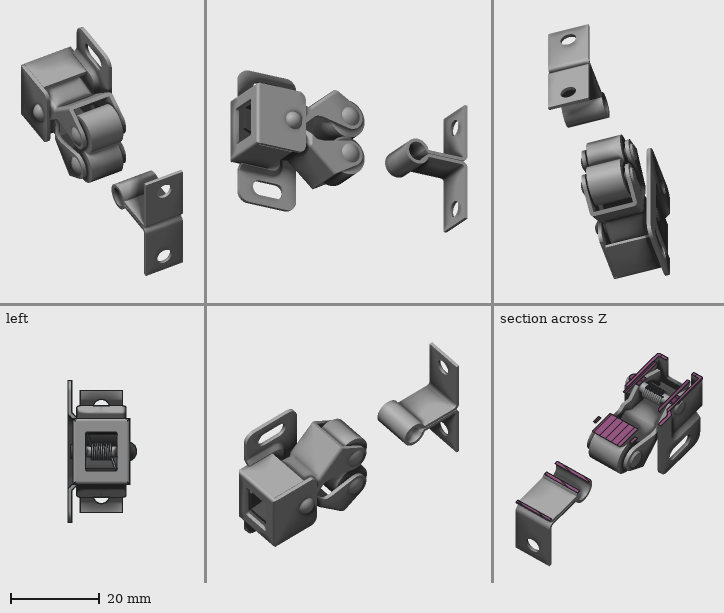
import cadquery as cq
import math

SHEET = 0.9

BOX_LEFT = -9.45
FRONT_WALL_RIGHT = 3.1
INNER_HALF_Y = 5.55
OUTER_HALF_Y = INNER_HALF_Y + SHEET
BOX_HALF_Z = 7.45
BOX_BEND = 0.7
WALL_STEP = 0.1
WALL_CORNER = 2.0
WINDOW_Y, WINDOW_Z, WINDOW_CORNER = 7.1, 8.9, 0.55

PLATE_LEFT, PLATE_RIGHT = -6.65, 8.1
PLATE_BACK = 7.55
PLATE_FRONT = PLATE_BACK - SHEET
PLATE_Z = 32.0
PLATE_CORNER = 2.5
SLOPE_OUTSET = 0.2
SLOPE_BEND = 0.85
PICK_MARGIN = 0.05
SLOT_LENGTH, SLOT_WIDTH = 7.9, 3.55
SLOT_X, SLOT_Z = 0.85, 12.0

PIVOT_R = 1.2
PIVOT_DOME_R, PIVOT_DOME_H = 2.1, 1.5
PIVOT_TAIL_R = 1.8

ROLLER_X, ROLLER_Z = 15.25, 4.5
ROLLER_R, ROLLER_LENGTH = 4.5, 8.0
ROLLER_PIN_R = 1.45
ROLLER_DOME_R, ROLLER_DOME_H = 2.3, 0.9
ROLLER_TAIL_R = 2.1
TAIL_H, TAIL_CHAMFER = 0.5, 0.3

WEB_BEND_X, WEB_BEND_Z = 4.9, 4.8
NEAR_WEB_ANGLE, FAR_WEB_ANGLE = -7.0, 40.8
FAR_WEB_LENGTH = 8.5
PIVOT_END_R = 2.1
HEEL_LEFT, HEEL_BOTTOM = -6.75, 0.45
ROLLER_END_R = 3.05
THROAT_LEFT, THROAT_RIGHT, THROAT_Z = 6.4, 8.15, 2.9
THROAT_ROUND = 2.0
JOG_START, JOG_END = 4.1, 5.4
ARM_REACH = 22.2

WIRE_D = 0.45
COIL_R = 1.7
COIL_PITCH, COIL_TURNS = 0.5, 9.25
SPRING_LEG_LENGTH, SPRING_LEG_LEAN = 4.0, 0.95

STRIKE_RIGHT = 46.05
STRIKE_SHEET = 0.8
STRIKE_WIDTH = 9.55
STRIKE_HALF_Z = 13.75
STRIKE_BEND = 0.8
STRIKE_HALF_GAP = 0.05
LOOP_X, LOOP_R = 33.1, 3.0
LOOP_MOUTH = 0.8
SCREW_HOLE_R, SCREW_HOLE_Z = 1.85, 9.9


def box(x0, x1, y0, y1, z0, z1):
    return cq.Workplane("XY").box(x1 - x0, y1 - y0, z1 - z0, centered=False).translate((x0, y0, z0))


def xz_plane(y):
    """Workplane at the given Y whose extrusions run toward +Y, with local x = -X and local y = Z."""
    return cq.Workplane(cq.Plane(origin=(0, y, 0), xDir=(-1, 0, 0), normal=(0, 1, 0)))


def rod_y(radius, y0, y1, x=0.0, z=0.0):
    return xz_plane(y0).center(-x, z).circle(radius).extrude(y1 - y0)


def ahead(point, angle, distance):
    a = math.radians(angle)
    return point[0] + distance * math.cos(a), point[1] + distance * math.sin(a)


def tangent_point(point, center, radius, side):
    """Where the line from point touches the circle; side is +1 or -1 round the center."""
    dx, dz = point[0] - center[0], point[1] - center[1]
    toward = math.degrees(math.atan2(dz, dx))
    swing = math.degrees(math.acos(radius / math.hypot(dx, dz)))
    return ahead(center, toward + side * swing, radius)



def box_walls():
    walls = box(BOX_LEFT, FRONT_WALL_RIGHT, -OUTER_HALF_Y, OUTER_HALF_Y, -BOX_HALF_Z, BOX_HALF_Z)
    walls = walls.edges("|Y and >X").fillet(WALL_CORNER)
    walls = walls.faces("<X").edges().fillet(BOX_BEND)
    inner_z = BOX_HALF_Z - SHEET
    walls = walls.cut(box(BOX_LEFT + SHEET, FRONT_WALL_RIGHT, -INNER_HALF_Y, INNER_HALF_Y, -inner_z, inner_z))
    walls = walls.cut(box(0, FRONT_WALL_RIGHT, -INNER_HALF_Y, INNER_HALF_Y, -BOX_HALF_Z, BOX_HALF_Z))
    bend_end = BOX_LEFT + BOX_BEND
    low_z = BOX_HALF_Z - WALL_STEP
    for y0, y1 in ((-OUTER_HALF_Y, -INNER_HALF_Y), (INNER_HALF_Y, OUTER_HALF_Y)):
        for z0, z1 in ((-BOX_HALF_Z, -low_z), (low_z, BOX_HALF_Z)):
            walls = walls.cut(box(bend_end, FRONT_WALL_RIGHT, y0, y1, z0, z1))
    window = (cq.Workplane("YZ", origin=(BOX_LEFT, 0, 0)).rect(WINDOW_Y, WINDOW_Z).extrude(SHEET)
              .edges("|X").fillet(WINDOW_CORNER))
    return walls.cut(window)


def slope_block(front_y, outset):
    """Block with 45 degree sides from front_y to the back of the plate, running out to the left."""
    right = FRONT_WALL_RIGHT + outset
    left = 2 * BOX_LEFT
    return (xz_plane(front_y).center(-(left + right) / 2, 0)
            .sketch().rect(right - left, 2 * (BOX_HALF_Z + outset)).vertices().fillet(WALL_CORNER + outset)
            .finalize().extrude(PLATE_BACK - front_y, taper=-45))


def mounting_plate():
    plate = box(PLATE_LEFT, PLATE_RIGHT, PLATE_FRONT, PLATE_BACK, -PLATE_Z / 2, PLATE_Z / 2)
    plate = plate.edges("|Y").fillet(PLATE_CORNER)
    slots = (xz_plane(PLATE_FRONT).pushPoints([(-SLOT_X, SLOT_Z), (-SLOT_X, -SLOT_Z)])
             .slot2D(SLOT_LENGTH, SLOT_WIDTH).extrude(SHEET))
    plate_side = box(PLATE_LEFT, PLATE_RIGHT, INNER_HALF_Y, PLATE_BACK, -PLATE_Z / 2, PLATE_Z / 2)
    plate = plate.union(slope_block(INNER_HALF_Y, SLOPE_OUTSET).intersect(plate_side))
    between_slots = SLOT_Z - SLOT_WIDTH / 2
    slope_foot = cq.selectors.BoxSelector(
        (PLATE_LEFT + PICK_MARGIN, PLATE_FRONT - PICK_MARGIN, -between_slots),
        (PLATE_RIGHT - PICK_MARGIN, PLATE_FRONT + PICK_MARGIN, between_slots))
    plate = plate.edges(slope_foot).fillet(SLOPE_BEND)
    recess = slope_block(OUTER_HALF_Y, SLOPE_OUTSET + SHEET - SHEET * math.sqrt(2))
    return plate.cut(recess).cut(slots)


def make_housing():
    housing = box_walls().union(mounting_plate())
    return housing.cut(rod_y(PIVOT_R, -OUTER_HALF_Y, OUTER_HALF_Y))



def arm_outline():
    """Side shape of an arm: heel, cranked web edge, roller end, throat and pivot end."""
    bend = (WEB_BEND_X, WEB_BEND_Z)
    roller = (ROLLER_X, ROLLER_Z)
    web_tip = ahead(bend, FAR_WEB_ANGLE, FAR_WEB_LENGTH)
    web_left_z = WEB_BEND_Z + (HEEL_LEFT - WEB_BEND_X) * math.tan(math.radians(NEAR_WEB_ANGLE))
    heel = (HEEL_LEFT, HEEL_BOTTOM)
    throat = (THROAT_LEFT, THROAT_Z)
    throat_end = (THROAT_RIGHT, THROAT_Z)
    outline = (cq.Workplane("XZ", origin=(0, INNER_HALF_Y, 0))
               .moveTo(*heel)
               .lineTo(HEEL_LEFT, web_left_z)
               .lineTo(*bend)
               .lineTo(*web_tip)
               .lineTo(*tangent_point(web_tip, roller, ROLLER_END_R, -1))
               .threePointArc((ROLLER_X + ROLLER_END_R, ROLLER_Z),
                              tangent_point(throat_end, roller, ROLLER_END_R, 1))
               .lineTo(*throat_end)
               .lineTo(*throat)
               .lineTo(*tangent_point(throat, (0, 0), PIVOT_END_R, -1))
               .threePointArc((0, -PIVOT_END_R), tangent_point(heel, (0, 0), PIVOT_END_R, 1))
               .close().extrude(2 * INNER_HALF_Y))
    throat_edge = cq.NearestToPointSelector((THROAT_LEFT, 0, THROAT_Z))
    return outline.edges("|Y").edges(throat_edge).fillet(THROAT_ROUND)


def arm_width(inset):
    """Plan shape of an arm: the +Y side steps inward by one sheet at the pivot."""
    side = INNER_HALF_Y - inset
    return (cq.Workplane("XY", origin=(0, 0, -ARM_REACH))
            .polyline([(-ARM_REACH, -side), (ARM_REACH, -side), (ARM_REACH, side),
                       (JOG_END, side), (JOG_START, side - SHEET), (-ARM_REACH, side - SHEET)])
            .close().extrude(2 * ARM_REACH))


def below_web():
    """Everything below the inner face of the cranked web."""
    middle = (NEAR_WEB_ANGLE + FAR_WEB_ANGLE) / 2
    half_turn = math.radians((FAR_WEB_ANGLE - NEAR_WEB_ANGLE) / 2)
    bend = ahead((WEB_BEND_X, WEB_BEND_Z), middle - 90, SHEET / math.cos(half_turn))
    return (cq.Workplane("XZ", origin=(0, INNER_HALF_Y, 0))
            .polyline([ahead(bend, NEAR_WEB_ANGLE, -ARM_REACH), bend, ahead(bend, FAR_WEB_ANGLE, ARM_REACH),
                       (ARM_REACH, -ARM_REACH), (-ARM_REACH, -ARM_REACH)])
            .close().extrude(2 * INNER_HALF_Y))


def make_arm():
    arm = arm_outline().intersect(arm_width(0))
    bend = (WEB_BEND_X, WEB_BEND_Z)
    near_x, near_z = ahead(bend, NEAR_WEB_ANGLE, -WEB_BEND_X)
    far_x, far_z = ahead(bend, FAR_WEB_ANGLE, FAR_WEB_LENGTH / 2)
    near_web = cq.NearestToPointSelector((near_x, 0, near_z))
    far_web = cq.NearestToPointSelector((far_x, 0, far_z))
    arm = arm.faces(near_web + far_web).edges("not |Y").fillet(SHEET)
    arm = arm.cut(below_web().intersect(arm_width(SHEET)))
    arm = arm.cut(rod_y(PIVOT_R, -INNER_HALF_Y, INNER_HALF_Y))
    return arm.cut(rod_y(ROLLER_PIN_R, -INNER_HALF_Y, INNER_HALF_Y, ROLLER_X, ROLLER_Z))



def make_pin(shaft_r, half_length, dome_r, dome_h, tail_r):
    """Rivet along Y with a domed head on the -Y end and a flat head on the +Y end."""
    dome_sphere = (dome_r ** 2 + dome_h ** 2) / (2 * dome_h)
    tip = -half_length - dome_h
    mid_r = dome_r / 2
    mid_y = tip + dome_sphere - math.sqrt(dome_sphere ** 2 - mid_r ** 2)
    tail_end = half_length + TAIL_H
    return (cq.Workplane("XY").moveTo(0, tip)
            .threePointArc((mid_r, mid_y), (dome_r, -half_length))
            .lineTo(shaft_r, -half_length)
            .lineTo(shaft_r, half_length)
            .lineTo(tail_r, half_length)
            .lineTo(tail_r - TAIL_CHAMFER, tail_end)
            .lineTo(0, tail_end)
            .close().revolve(360, (0, 0, 0), (0, 1, 0)))


def make_roller(z):
    half = ROLLER_LENGTH / 2
    return rod_y(ROLLER_R, -half, half, ROLLER_X, z).cut(rod_y(ROLLER_PIN_R, -half, half, ROLLER_X, z))



def make_spring():
    """Coil round the pivot, its two ends leaning out to the webs of the arms."""
    span = COIL_PITCH * COIL_TURNS
    helix = cq.Wire.makeHelix(COIL_PITCH, span, COIL_R, lefthand=True)
    spring = (cq.Workplane("XZ", origin=(COIL_R, 0, 0)).circle(WIRE_D / 2)
              .sweep(cq.Workplane(obj=helix), isFrenet=True))
    for turns, way in ((0, -1), (COIL_TURNS, 1)):
        angle = -360 * turns
        start = (*ahead((0, 0), angle, COIL_R), COIL_PITCH * turns)
        run = cq.Vector(*ahead((0, 0), angle - way * 90, SPRING_LEG_LENGTH), way * SPRING_LEG_LEAN)
        leg = cq.Workplane(cq.Plane(start, normal=run)).circle(WIRE_D / 2).extrude(run.Length)
        spring = spring.union(leg, clean=False)
    along_pivot = cq.Plane(origin=(0, -span / 2, 0), xDir=(1, 0, -1), normal=(0, 1, 0))
    return cq.Workplane(obj=spring.val().moved(cq.Location(along_pivot)))



def strike_half():
    """Upper leaf of the strike: strip, bend and screw flange."""
    half = STRIKE_WIDTH / 2
    strip_top = STRIKE_HALF_GAP + STRIKE_SHEET
    flange_left = STRIKE_RIGHT - STRIKE_SHEET
    leaf = (cq.Workplane("XZ", origin=(0, half, 0))
            .polyline([(LOOP_X, STRIKE_HALF_GAP), (STRIKE_RIGHT, STRIKE_HALF_GAP), (STRIKE_RIGHT, STRIKE_HALF_Z),
                       (flange_left, STRIKE_HALF_Z), (flange_left, strip_top), (LOOP_X, strip_top)])
            .close().extrude(STRIKE_WIDTH))
    inner_corner = cq.NearestToPointSelector((flange_left, 0, strip_top))
    outer_corner = cq.NearestToPointSelector((STRIKE_RIGHT, 0, STRIKE_HALF_GAP))
    leaf = leaf.edges("|Y").edges(inner_corner).fillet(STRIKE_BEND)
    leaf = leaf.edges("|Y").edges(outer_corner).fillet(STRIKE_BEND + STRIKE_SHEET)
    hole = (cq.Workplane("YZ", origin=(flange_left, 0, SCREW_HOLE_Z)).circle(SCREW_HOLE_R)
            .extrude(STRIKE_SHEET))
    return leaf.cut(hole)


def make_strike():
    half = STRIKE_WIDTH / 2
    leaf = strike_half()
    strike = rod_y(LOOP_R, -half, half, LOOP_X)
    strike = strike.cut(box(LOOP_X, LOOP_X + LOOP_R, -half, half, -STRIKE_HALF_GAP, STRIKE_HALF_GAP))
    strike = strike.union(leaf).union(leaf.rotate((0, 0, 0), (1, 0, 0), 180))
    bore_r = LOOP_R - STRIKE_SHEET
    strike = strike.cut(rod_y(bore_r, -half, half, LOOP_X))
    mouth_x = LOOP_X + math.sqrt(bore_r ** 2 - LOOP_MOUTH ** 2)
    mouth = (cq.Workplane("XZ", origin=(0, half, 0))
             .polyline([(mouth_x, LOOP_MOUTH), (mouth_x + LOOP_MOUTH, 0), (mouth_x, -LOOP_MOUTH)])
             .close().extrude(STRIKE_WIDTH))
    return strike.cut(mouth)



housing = make_housing()
pivot_pin = make_pin(PIVOT_R, OUTER_HALF_Y, PIVOT_DOME_R, PIVOT_DOME_H, PIVOT_TAIL_R)
spring = make_spring()
strike = make_strike()

upper_arm = make_arm()
arms = [upper_arm.rotate((0, 0, 0), (1, 0, 0), turn) for turn in (0, 180)]
roller_pin = make_pin(ROLLER_PIN_R, INNER_HALF_Y, ROLLER_DOME_R, ROLLER_DOME_H, ROLLER_TAIL_R)
rollers = []
roller_pins = []
for axis_z in (ROLLER_Z, -ROLLER_Z):
    rollers.append(make_roller(axis_z))
    roller_pins.append(roller_pin.translate((ROLLER_X, 0, axis_z)))

result = cq.Compound.makeCompound([
    housing.val(),
    pivot_pin.val(),
    spring.val(),
    strike.val(),
    *[arm.val() for arm in arms],
    *[roller.val() for roller in rollers],
    *[pin.val() for pin in roller_pins],
])